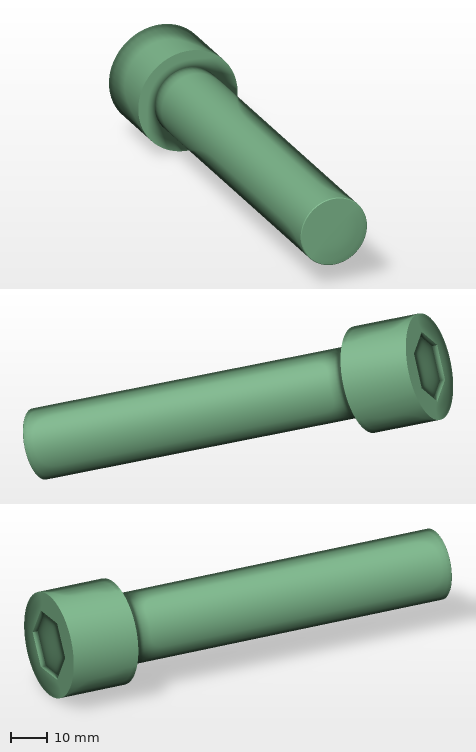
import cadquery as cq
import math

total_length = 120
head_diameter = 30
head_length = 20.0
shank_diameter = 20.0
tip_chamfer = 0.2
socket_across_flats = 17.0
socket_depth = 1.5


def make_shank():
    """Plain shank with a small chamfer at its free end."""
    shank = cq.Workplane("YZ").circle(shank_diameter / 2).extrude(total_length)
    return shank.faces(">X").chamfer(tip_chamfer)


def make_head():
    """Cylindrical head."""
    return cq.Workplane("YZ").circle(head_diameter / 2).extrude(head_length)


def make_socket():
    """Shallow hexagonal recess with two corners pointing along Y."""
    across_corners = socket_across_flats / math.cos(math.pi / 6)
    return cq.Workplane("YZ").polygon(6, across_corners).extrude(socket_depth)


result = make_head().union(make_shank()).cut(make_socket())